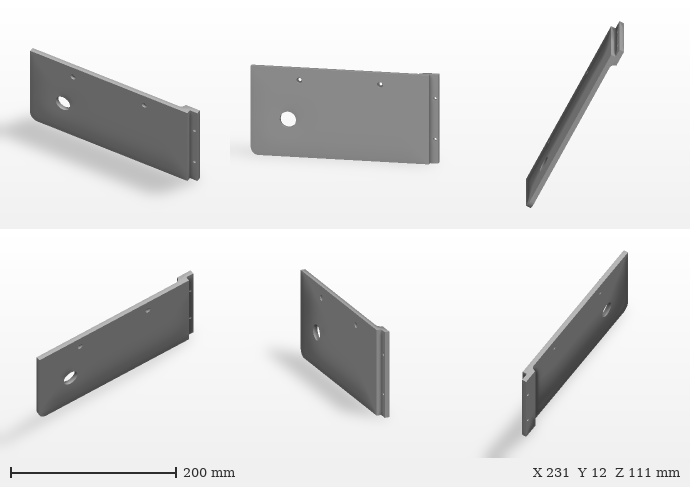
import cadquery as cq

length = 231.0
depth = 12.0
height = 111.0

plate_thickness = depth / 2
lip_thickness = depth - plate_thickness
rabbet_width = 10.5
step_x = length - 19.9
step_radius = lip_thickness
corner_radius = 10.0

window_diameter = 20.0
window_x = 46.0
window_z = 46.2

screw_diameter = 4.2
screw_head_diameter = 7.2
screw_head_depth = 4.0
first_screw_x = 60.0
screw_spacing = 100.0
screw_z = height - 15.0

lip_hole_diameter = 4.2
lip_hole_x = length - 4.2
lip_hole_edge_distance = 30.0


def make_body():
    """Extrude the stepped profile upward and round the lower corner at the -X end."""
    rabbet_x = length - rabbet_width
    profile = (
        cq.Workplane("XY")
        .lineTo(rabbet_x, 0)
        .lineTo(rabbet_x, depth - lip_thickness)
        .lineTo(length, depth - lip_thickness)
        .lineTo(length, depth)
        .lineTo(step_x, depth)
        .radiusArc((step_x - step_radius, plate_thickness), step_radius)
        .lineTo(0, plate_thickness)
        .close()
    )
    return profile.extrude(height).edges("|Y and <X and <Z").fillet(corner_radius)


def front_points(points):
    """Place (x, z) points on the front face, with the workplane normal facing -Y."""
    return cq.Workplane("XZ").pushPoints(points)


def through_holes(points, diameter):
    """Cylinders running through the full depth."""
    return front_points(points).circle(diameter / 2).extrude(-depth)


def counterbores(points):
    """Flat-bottomed screw head recesses sunk into the front face."""
    return front_points(points).circle(screw_head_diameter / 2).extrude(-screw_head_depth)


screw_points = [(first_screw_x + i * screw_spacing, screw_z) for i in range(2)]
lip_hole_points = [
    (lip_hole_x, lip_hole_edge_distance),
    (lip_hole_x, height - lip_hole_edge_distance),
]

result = (
    make_body()
    .cut(through_holes([(window_x, window_z)], window_diameter))
    .cut(through_holes(screw_points, screw_diameter))
    .cut(counterbores(screw_points))
    .cut(through_holes(lip_hole_points, lip_hole_diameter))
)